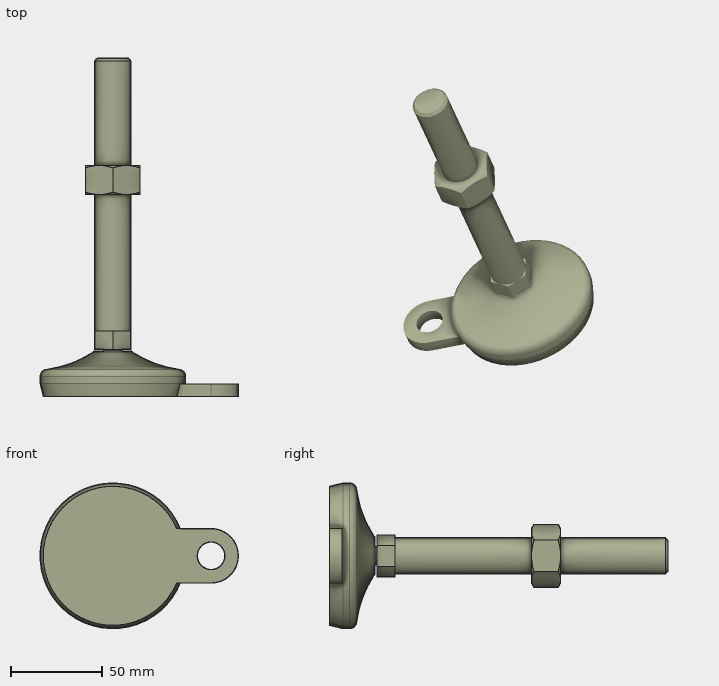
import cadquery as cq
import math


pad_radius = 40.0
underside_radius = 38.2
taper_height = 7.3
rim_height = 15.0
rim_rounding = 4.0
crown_radius = 11.0
crown_height = 25.0
crown_bevel = 0.7
flank_mid_radius = 21.5
flank_mid_height = 18.9

tab_thickness = 7.0
tab_width = 30.0
tab_hole_diameter = 15.0
tab_hole_x = 54.0

total_length = 186.0
stud_diameter = 20.0
stud_chamfer = 1.5
neck_diameter = 10.0
neck_length = 1.0
spanner_flats = 20.0
spanner_length = 10.0

nut_flats = 30.0
nut_thickness = 16.0
nut_start = 111.0
nut_chamfer_angle = 30.0


def plane_at(y):
    """Plane across the stud axis at height y, with its normal along +Y and local x along +Z."""
    return cq.Workplane(cq.Plane(origin=(0, y, 0), xDir=(0, 0, 1), normal=(0, 1, 0)))


def hexagon(across_flats, start, length):
    """Hexagonal prism along Y with two corners on the Z axis."""
    across_corners = across_flats / math.cos(math.pi / 6)
    return plane_at(start).polygon(6, across_corners).extrude(length)


def revolve_about_y(profile):
    return profile.close().revolve(360, (0, 0, 0), (0, 1, 0))


def make_pad():
    flank_foot_radius = pad_radius - rim_rounding
    arc_offset = rim_rounding * math.sin(math.pi / 4)
    rounding_mid = (flank_foot_radius + arc_offset, rim_height - rim_rounding + arc_offset)
    profile = (
        cq.Workplane("XY")
        .lineTo(underside_radius, 0)
        .lineTo(pad_radius, taper_height)
        .lineTo(pad_radius, rim_height - rim_rounding)
        .threePointArc(rounding_mid, (flank_foot_radius, rim_height))
        .threePointArc((flank_mid_radius, flank_mid_height), (crown_radius, crown_height - crown_bevel))
        .lineTo(crown_radius - crown_bevel, crown_height)
        .lineTo(0, crown_height)
    )
    return revolve_about_y(profile)


def make_tab():
    end_radius = tab_width / 2
    tab = (
        cq.Workplane("XZ")
        .center(tab_hole_x / 2, 0)
        .rect(tab_hole_x, tab_width)
        .extrude(-tab_thickness)
    )
    tab_end = cq.Workplane("XZ").center(tab_hole_x, 0).circle(end_radius).extrude(-tab_thickness)
    hole = cq.Workplane("XZ").center(tab_hole_x, 0).circle(tab_hole_diameter / 2).extrude(-tab_thickness)
    return tab.union(tab_end).cut(hole)


def make_stud():
    spanner_start = crown_height + neck_length
    stud_start = spanner_start + spanner_length
    neck = plane_at(crown_height).circle(neck_diameter / 2).extrude(neck_length)
    spanner = hexagon(spanner_flats, spanner_start, spanner_length)
    shank = (
        plane_at(stud_start)
        .circle(stud_diameter / 2)
        .extrude(total_length - stud_start)
        .faces(">Y")
        .chamfer(stud_chamfer)
    )
    return neck.union(spanner).union(shank)


def make_nut():
    """Hexagon nut whose corners are turned off by a cone at both ends."""
    face_radius = nut_flats / 2
    corner_radius = face_radius / math.cos(math.pi / 6)
    chamfer_depth = (corner_radius - face_radius) * math.tan(math.radians(nut_chamfer_angle))
    nut_end = nut_start + nut_thickness
    envelope = (
        cq.Workplane("XY")
        .moveTo(0, nut_start)
        .lineTo(face_radius, nut_start)
        .lineTo(corner_radius, nut_start + chamfer_depth)
        .lineTo(corner_radius, nut_end - chamfer_depth)
        .lineTo(face_radius, nut_end)
        .lineTo(0, nut_end)
    )
    return hexagon(nut_flats, nut_start, nut_thickness).intersect(revolve_about_y(envelope))


result = make_pad().union(make_tab()).union(make_stud()).union(make_nut())